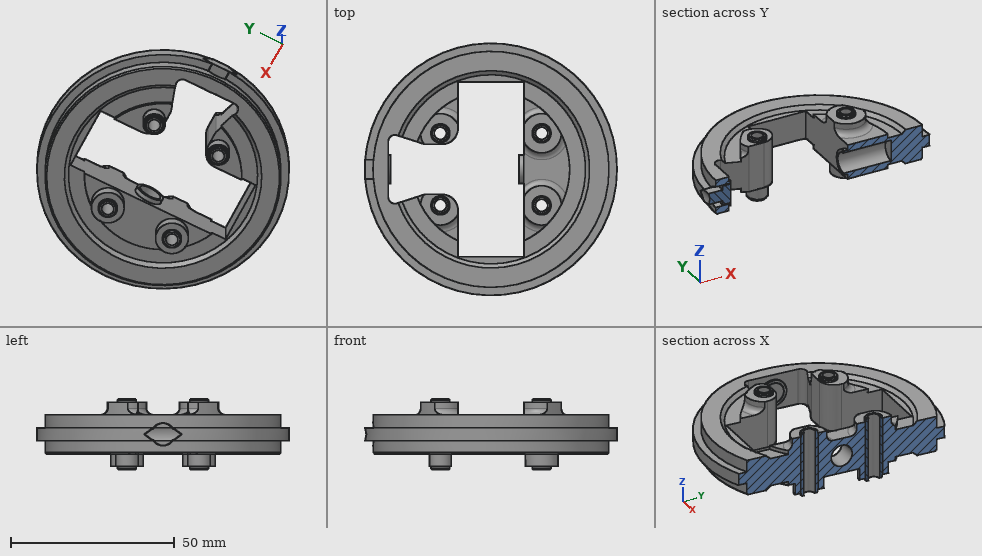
import cadquery as cq
import math

RIM_RADIUS = 36.0
BAND_RADIUS = 38.5
RIM_HALF_HEIGHT = 6.0
BAND_HALF_HEIGHT = 2.0
BOTTOM_CHAMFER = 0.5

RECESS_DEPTH = 1.25
RECESS_INNER_RADIUS = 24.0
RECESS_TOP_RADIUS = 30.1
RECESS_FLOOR_RADIUS = RECESS_TOP_RADIUS - RECESS_DEPTH

WINDOW_X = 20.0
WINDOW_Y = 53.2
POCKET_END_X = -31.3
POCKET_HALF_NECK = 7.6
POCKET_FLARE_X = -20.2
POCKET_HALF_END = 11.2
POCKET_END_FILLET = 2.0
POCKET_MOUTH_FILLET = 5.0

BOSS_X = 15.45
BOSS_Y = 11.0
BOSS_HALF_HEIGHT = 9.8
BOSS_TOP_RADIUS = 6.0
BOSS_COVE_RADIUS = 2.0
BOSS_BOTTOM_RADIUS_RIGHT = 5.0
BOSS_BOTTOM_RADIUS_LEFT = 3.375

EYELET_RADIUS = 2.9
EYELET_BORE_RADIUS = 1.85
EYELET_HALF_LENGTH = 10.8
EYELET_CHAMFER = 0.4

BORE_RADIUS = 3.49
COLLAR_RADIUS = 4.375
LEFT_COLLAR_LENGTH = 0.65
RIGHT_COLLAR_LENGTH = 1.5
RIGHT_BORE_DEPTH = 15.0
COLLAR_ROOT = 1.0

STEM_RADIUS = 3.375
HEAD_HALF_WIDTH = 5.75
HEAD_FLAT_HALF_WIDTH = 3.0
HEAD_INNER_X = -33.5
HEAD_SIDE_GAP = 0.15
HEAD_EDGE_X = -38.49
HEAD_HOLLOW_DEPTH = 0.42
HEAD_HOLLOW_RADIUS = (BAND_HALF_HEIGHT**2 + HEAD_HOLLOW_DEPTH**2) / (2 * HEAD_HOLLOW_DEPTH)

BOSS_PLACES = [(sx * BOSS_X, sy * BOSS_Y) for sx in (-1, 1) for sy in (-1, 1)]


def x_cylinder(radius, x_start, x_end):
    """Cylinder on the X axis between two X positions."""
    return cq.Workplane("YZ", origin=(x_start, 0, 0)).circle(radius).extrude(x_end - x_start)


def z_cylinder(radius, z_start, z_end):
    """Cylinder on the Z axis between two heights."""
    return cq.Workplane("XY", origin=(0, 0, z_start)).circle(radius).extrude(z_end - z_start)


def ring_blank():
    rim = z_cylinder(RIM_RADIUS, -RIM_HALF_HEIGHT, RIM_HALF_HEIGHT)
    rim = rim.faces("<Z").edges().chamfer(BOTTOM_CHAMFER)
    return rim.union(z_cylinder(BAND_RADIUS, -BAND_HALF_HEIGHT, BAND_HALF_HEIGHT))


def top_recess():
    """Recess in the top face, outside the raised centre."""
    floor_z = RIM_HALF_HEIGHT - RECESS_DEPTH
    section = [
        (RECESS_INNER_RADIUS, floor_z),
        (RECESS_FLOOR_RADIUS, floor_z),
        (RECESS_TOP_RADIUS, RIM_HALF_HEIGHT),
        (RECESS_INNER_RADIUS, RIM_HALF_HEIGHT),
    ]
    return cq.Workplane("XZ").polyline(section).close().revolve(360, (0, 0, 0), (0, 1, 0))


def top_boss():
    """Boss above the top face, with a concave cove around its foot."""
    foot_radius = BOSS_TOP_RADIUS + BOSS_COVE_RADIUS
    cove_top = RIM_HALF_HEIGHT + BOSS_COVE_RADIUS
    cove_offset = BOSS_COVE_RADIUS * (1 - math.sqrt(0.5))
    return (
        cq.Workplane("XZ")
        .moveTo(0, RIM_HALF_HEIGHT - RECESS_DEPTH)
        .lineTo(foot_radius, RIM_HALF_HEIGHT - RECESS_DEPTH)
        .lineTo(foot_radius, RIM_HALF_HEIGHT)
        .threePointArc(
            (BOSS_TOP_RADIUS + cove_offset, RIM_HALF_HEIGHT + cove_offset),
            (BOSS_TOP_RADIUS, cove_top),
        )
        .lineTo(BOSS_TOP_RADIUS, BOSS_HALF_HEIGHT)
        .lineTo(0, BOSS_HALF_HEIGHT)
        .close()
        .revolve(360, (0, 0, 0), (0, 1, 0))
    )


def top_bosses():
    """All four upper bosses, trimmed to the raised centre of the top face."""
    centre = z_cylinder(RECESS_INNER_RADIUS, 0, BOSS_HALF_HEIGHT)
    bosses = cq.Workplane("XY")
    for x, y in BOSS_PLACES:
        bosses = bosses.union(top_boss().translate((x, y, 0)))
    return bosses.intersect(centre)


def bottom_boss(x, y):
    radius = BOSS_BOTTOM_RADIUS_RIGHT if x > 0 else BOSS_BOTTOM_RADIUS_LEFT
    return z_cylinder(radius, -BOSS_HALF_HEIGHT, 0).translate((x, y, 0))


def opening():
    """Window and dovetail pocket, cut through the full height."""
    height = 2 * BOSS_HALF_HEIGHT
    window = cq.Workplane("XY").box(WINDOW_X, WINDOW_Y, height)
    outline = [
        (0, -POCKET_HALF_NECK),
        (POCKET_FLARE_X, -POCKET_HALF_NECK),
        (POCKET_END_X, -POCKET_HALF_END),
        (POCKET_END_X, POCKET_HALF_END),
        (POCKET_FLARE_X, POCKET_HALF_NECK),
        (0, POCKET_HALF_NECK),
    ]
    pocket = (
        cq.Workplane("XY", origin=(0, 0, -BOSS_HALF_HEIGHT))
        .polyline(outline)
        .close()
        .extrude(height)
        .edges("|Z and <X")
        .fillet(POCKET_END_FILLET)
    )
    mouth = cq.selectors.BoxSelector(
        (POCKET_FLARE_X / 2 - WINDOW_X / 4, -WINDOW_Y / 4, -height),
        (0, WINDOW_Y / 4, height),
    )
    return window.union(pocket).edges("|Z").edges(mouth).fillet(POCKET_MOUTH_FILLET)


def head_prism(x_start, x_end, side_gap):
    """Hexagonal prism along X; side_gap narrows it on both sides."""
    tip = HEAD_HALF_WIDTH - side_gap
    flat = HEAD_FLAT_HALF_WIDTH - side_gap
    outline = [
        (-tip, 0),
        (-flat, -BAND_HALF_HEIGHT),
        (flat, -BAND_HALF_HEIGHT),
        (tip, 0),
        (flat, BAND_HALF_HEIGHT),
        (-flat, BAND_HALF_HEIGHT),
    ]
    plane = cq.Workplane("YZ", origin=(x_start, 0, 0))
    return plane.polyline(outline).close().extrude(x_end - x_start)


def make_ring():
    bottom_recess = top_recess().mirror("XY")
    ring = ring_blank().cut(top_recess()).cut(bottom_recess).union(top_bosses())
    for x, y in BOSS_PLACES:
        ring = ring.union(bottom_boss(x, y))
    ring = ring.cut(opening())

    left_collar_end = POCKET_END_X + LEFT_COLLAR_LENGTH
    right_wall_x = WINDOW_X / 2
    right_collar_end = right_wall_x - RIGHT_COLLAR_LENGTH
    ring = ring.union(x_cylinder(COLLAR_RADIUS, POCKET_END_X - COLLAR_ROOT, left_collar_end))
    ring = ring.union(x_cylinder(COLLAR_RADIUS, right_collar_end, right_wall_x + COLLAR_ROOT))
    ring = ring.cut(x_cylinder(BORE_RADIUS, -BAND_RADIUS, left_collar_end))
    ring = ring.cut(x_cylinder(BORE_RADIUS, right_collar_end, right_wall_x + RIGHT_BORE_DEPTH))
    ring = ring.cut(head_prism(-BAND_RADIUS, HEAD_INNER_X, 0))

    for x, y in BOSS_PLACES:
        eyelet_hole = z_cylinder(EYELET_RADIUS, -BOSS_HALF_HEIGHT, BOSS_HALF_HEIGHT)
        ring = ring.cut(eyelet_hole.translate((x, y, 0)))
    return ring


def make_eyelet():
    tube = z_cylinder(EYELET_RADIUS, -EYELET_HALF_LENGTH, EYELET_HALF_LENGTH)
    tube = tube.edges().chamfer(EYELET_CHAMFER)
    return tube.cut(z_cylinder(EYELET_BORE_RADIUS, -EYELET_HALF_LENGTH, EYELET_HALF_LENGTH))


def make_plug():
    """Stem in the bore and a hexagonal head whose outer end is hollowed along Y."""
    stem = x_cylinder(STEM_RADIUS, HEAD_INNER_X, POCKET_END_X + LEFT_COLLAR_LENGTH)
    plug = stem.union(head_prism(HEAD_EDGE_X, HEAD_INNER_X, HEAD_SIDE_GAP))
    hollow_x = HEAD_EDGE_X + HEAD_HOLLOW_DEPTH - HEAD_HOLLOW_RADIUS
    hollow = (
        cq.Workplane("XZ", origin=(hollow_x, 0, 0))
        .circle(HEAD_HOLLOW_RADIUS)
        .extrude(HEAD_HALF_WIDTH, both=True)
    )
    return plug.cut(hollow)


ring = make_ring()
plug = make_plug()
eyelets = [make_eyelet().translate((x, y, 0)) for x, y in BOSS_PLACES]

result = cq.Compound.makeCompound([ring.val(), plug.val(), *[eyelet.val() for eyelet in eyelets]])